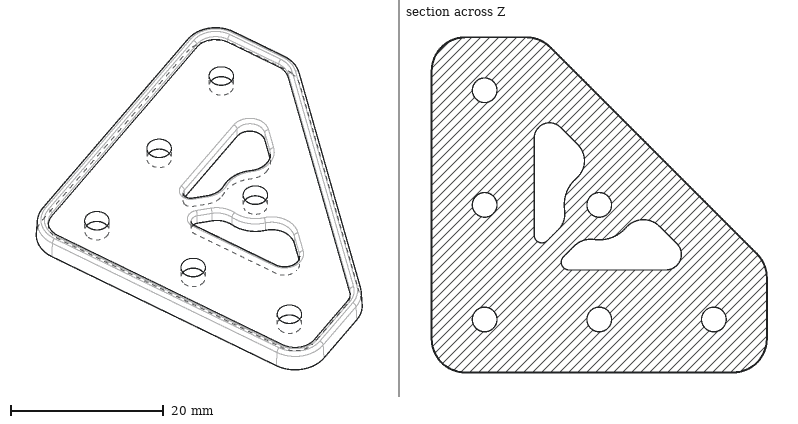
import cadquery as cq
import math

side = 44.0
thickness = 3.0
corner_radius = 4.5
diagonal_distance = 10.11
draft_angle = 3.0

rim_width = 1.6
rim_rounding = 0.5
floor_depth = 1.0

hole_diameter = 3.2
hole_pitch = 15.0
hole_cells = [(-1, -1), (0, -1), (1, -1), (-1, 0), (0, 0), (-1, 1)]

window_side_x = -8.5
window_diagonal_distance = 3.58
web_width = 3.0
boss_radius = hole_diameter / 2 + web_width
window_rounding = 0.5
window_top_radius = 2.0
window_bottom_radius = 1.0
boss_corner_radius = 3.0

half = side / 2
floor_z = thickness - floor_depth
sqrt2 = math.sqrt(2)


def plate_outline(inset):
    """Closed plate outline with rounded corners, moved inwards by inset."""
    edge = half - inset
    diagonal_sum = (diagonal_distance - inset) * sqrt2
    corners = [
        (-edge, -edge),
        (edge, -edge),
        (edge, diagonal_sum - edge),
        (diagonal_sum - edge, edge),
        (-edge, edge),
    ]
    sharp = cq.Sketch().polygon(corners + corners[:1])
    return sharp.vertices().fillet(corner_radius - inset)


def rimmed_plate():
    """Drafted plate whose top is sunk to the floor inside a rim rounded on both sides."""
    plate = cq.Workplane("XY").placeSketch(plate_outline(0)).extrude(thickness, taper=draft_angle)
    recess = (
        cq.Workplane("XY", origin=(0, 0, floor_z))
        .placeSketch(plate_outline(rim_width))
        .extrude(floor_depth, taper=-draft_angle)
    )
    return plate.cut(recess).faces(">Z").edges().fillet(rim_rounding)


def near(x, y):
    """Selector for the upright edge closest to (x, y)."""
    return cq.selectors.NearestToPointSelector((x, y, floor_z / 2))


def window():
    """Cutter for the window on the -X side: a triangle less the boss circle."""
    upper_sum = window_diagonal_distance * sqrt2
    web_offset = web_width / sqrt2
    top = (window_side_x, upper_sum - window_side_x)
    bottom = (window_side_x, window_side_x + web_offset)
    tip = ((upper_sum - web_offset) / 2, (upper_sum + web_offset) / 2)

    def boss_crossing(distance):
        """How far along a 45 degree side the boss circle reaches, in x or y."""
        return math.sqrt(boss_radius**2 - distance**2) / sqrt2

    upper_reach = boss_crossing(window_diagonal_distance)
    upper_cusp = (upper_sum / 2 - upper_reach, upper_sum / 2 + upper_reach)
    lower_reach = boss_crossing(web_width / 2)
    lower_cusp = (-web_offset / 2 - lower_reach, web_offset / 2 - lower_reach)

    triangle = cq.Workplane("XY").polyline([top, bottom, tip]).close().extrude(floor_z)
    cutter = triangle.cut(cq.Workplane("XY").circle(boss_radius).extrude(floor_z))
    rounded_corners = [
        (top, window_top_radius),
        (bottom, window_bottom_radius),
        (upper_cusp, boss_corner_radius),
        (lower_cusp, boss_corner_radius),
    ]
    for corner, radius in rounded_corners:
        cutter = cutter.edges("|Z").edges(near(*corner)).fillet(radius)
    return cutter


def cut_windows(plate):
    """Cut both windows and round their edges at the floor."""
    cutter = window()
    mirrored = cutter.mirror("YZ").rotate((0, 0, 0), (0, 0, 1), -90)
    plate = plate.cut(cutter).cut(mirrored)
    floor = plate.faces("|Z").faces(">Z[-2]").val()
    window_edges = [edge for wire in floor.innerWires() for edge in wire.Edges()]
    return plate.newObject(window_edges).fillet(window_rounding)


def drill_holes(plate):
    """Drill the screw holes through the plate."""
    centres = [(column * hole_pitch, row * hole_pitch) for column, row in hole_cells]
    drills = cq.Workplane("XY").pushPoints(centres).circle(hole_diameter / 2).extrude(thickness)
    return plate.cut(drills)


result = drill_holes(cut_windows(rimmed_plate()))